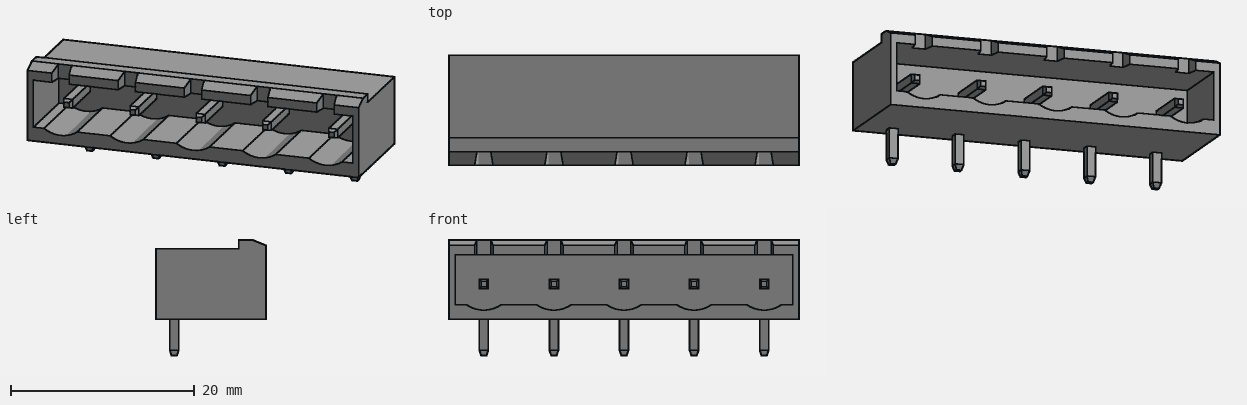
import cadquery as cq

pin_count = 5
pitch = 7.62
total_height = 12.6

housing_length = pin_count * pitch
housing_depth = 12.0
front_y = -housing_depth / 2
back_y = housing_depth / 2
pin_drop = 3.95
lip_top_z = total_height - pin_drop
lip_rise = 0.95
roof_z = lip_top_z - lip_rise
lip_depth = 3.0
bevel_depth = 1.5
bevel_drop = 0.6

side_wall = 0.7
floor_z = 1.6
lip_thickness = 1.65
ceiling_z = lip_top_z - lip_thickness
cavity_depth = 8.5

trough_width = 3.8
trough_sag = 0.6

notch_front_width = 2.0
notch_back_width = 1.5

pin_size = 1.0
tip_size = 0.6
tip_length = 0.6
pin_axis_z = 3.85
tail_inset = 2.0
contact_recess = 2.0
tail_y = back_y - tail_inset
contact_front_y = front_y + contact_recess

pin_positions = [(i - (pin_count - 1) / 2) * pitch for i in range(pin_count)]


def make_housing_block():
    """Side profile with the raised, bevelled front lip, extruded along X."""
    return (
        cq.Workplane("YZ")
        .moveTo(front_y, 0)
        .lineTo(back_y, 0)
        .lineTo(back_y, roof_z)
        .lineTo(front_y + lip_depth, roof_z)
        .lineTo(front_y + lip_depth, lip_top_z)
        .lineTo(front_y + bevel_depth, lip_top_z)
        .lineTo(front_y, lip_top_z - bevel_drop)
        .close()
        .extrude(housing_length / 2, both=True)
    )


def make_cavity():
    """Rectangular pocket behind the front face, shared by all pins."""
    width = housing_length - 2 * side_wall
    height = ceiling_z - floor_z
    return cq.Workplane("XY", origin=(0, front_y, floor_z)).box(
        width, cavity_depth, height, centered=(True, False, False)
    )


def make_trough(x):
    """Circular segment under the floor, running the full depth of the cavity."""
    half = trough_width / 2
    return (
        cq.Workplane("XZ", origin=(x, front_y, floor_z))
        .moveTo(-half, 0)
        .threePointArc((0, -trough_sag), (half, 0))
        .close()
        .extrude(-cavity_depth)
    )


def make_notch(x):
    """Vertical slot through the ceiling that narrows away from the front."""
    return (
        cq.Workplane("XY", origin=(x, front_y, ceiling_z))
        .moveTo(-notch_front_width / 2, 0)
        .lineTo(notch_front_width / 2, 0)
        .lineTo(notch_back_width / 2, bevel_depth)
        .lineTo(-notch_back_width / 2, bevel_depth)
        .close()
        .extrude(lip_thickness)
    )


def make_bar(start, direction, length):
    """Square bar from start along direction, its far end tapered to a smaller square."""
    plane = cq.Plane(origin=start, xDir=(1, 0, 0), normal=direction)
    shank_length = length - tip_length
    shank = cq.Workplane(plane).rect(pin_size, pin_size).extrude(shank_length)
    tip = (
        cq.Workplane(plane)
        .workplane(offset=shank_length)
        .rect(pin_size, pin_size)
        .workplane(offset=tip_length)
        .rect(tip_size, tip_size)
        .loft()
    )
    return shank.union(tip)


def make_pin(x):
    """Right-angle pin: a contact pointing forward and a tail pointing down."""
    corner_top_z = pin_axis_z + pin_size / 2
    corner_back_y = tail_y + pin_size / 2
    contact = make_bar((x, corner_back_y, pin_axis_z), (0, -1, 0), corner_back_y - contact_front_y)
    tail = make_bar((x, tail_y, corner_top_z), (0, 0, -1), corner_top_z + pin_drop)
    return contact.union(tail)


result = make_housing_block().cut(make_cavity())
for pin_x in pin_positions:
    result = result.cut(make_trough(pin_x))
    result = result.cut(make_notch(pin_x))
for pin_x in pin_positions:
    result = result.union(make_pin(pin_x))